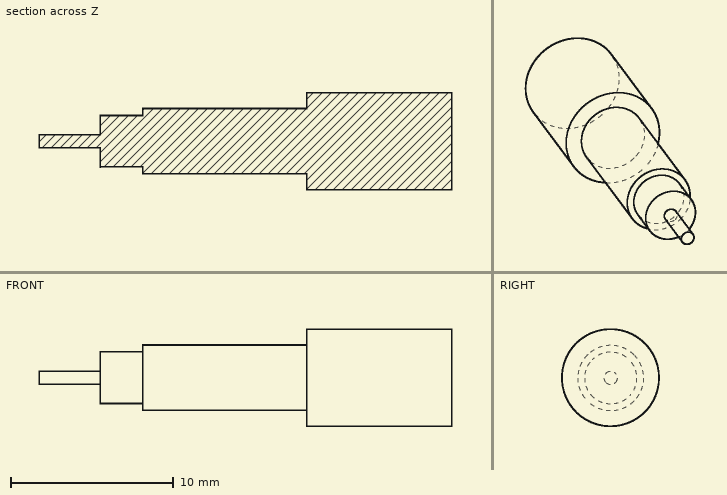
import cadquery as cq

TOTAL_LENGTH = 25.4

PIN_DIAMETER = 0.81
PIN_LENGTH = 3.75

DIELECTRIC_DIAMETER = 3.2
DIELECTRIC_LENGTH = 2.62

SHIELD_DIAMETER = 4.05
SHIELD_LENGTH = 10.08

JACKET_DIAMETER = 6.0
JACKET_LENGTH = TOTAL_LENGTH - PIN_LENGTH - DIELECTRIC_LENGTH - SHIELD_LENGTH

LAYERS = [
    (PIN_DIAMETER, PIN_LENGTH),
    (DIELECTRIC_DIAMETER, DIELECTRIC_LENGTH),
    (SHIELD_DIAMETER, SHIELD_LENGTH),
    (JACKET_DIAMETER, JACKET_LENGTH),
]


def stepped_cylinder(layers):
    """Stack solid cylinders end to end along +X, starting at X = 0."""
    body = None
    start = 0
    for diameter, length in layers:
        layer = cq.Workplane("YZ", origin=(start, 0, 0)).circle(diameter / 2).extrude(length)
        body = body.union(layer) if body else layer
        start += length
    return body


result = stepped_cylinder(LAYERS)